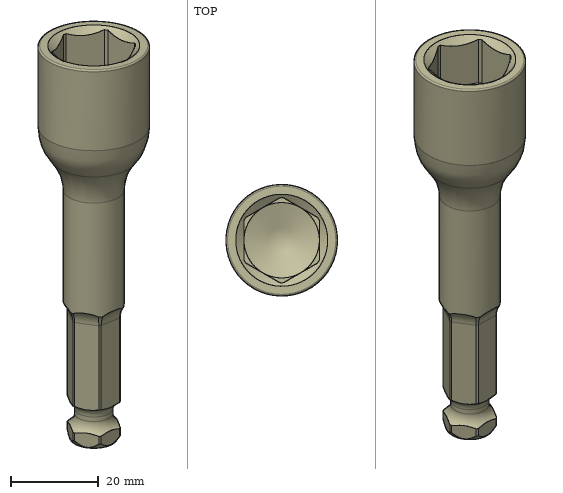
import cadquery as cq
import math

length = 100.0
socket_diameter = 25.5
socket_radius = socket_diameter / 2
barrel_radius = 7.0
rim_fillet = 0.4

shoulder_bottom = 63.3
shoulder_top = 79.5
shoulder_middle = (shoulder_bottom + shoulder_top) / 2
shoulder_mid_radius = (barrel_radius + socket_radius) / 2

shank_across_flats = 11.1
shank_flat = shank_across_flats / 2
shank_across_corners = 12.5
shank_corner_radius = shank_across_corners / 2
flare_start = 31.6
flare_radius = 4.8
tip_radius = 5.4
tip_chamfer_height = 1.4

groove_radius = 4.4
groove_bottom = 3.4
groove_floor_bottom = 6.3
groove_floor_top = 7.5
groove_top = 10.1

socket_across_flats = 17.2
socket_corner_radius = 9.7
socket_depth = 12.5
mouth_radius = 10.5
mouth_angle = 50.0
drill_point_angle = 140.0


def tangent_radius(rise, offset):
    """Radius of an arc that starts along the axis and ends at the given rise and offset."""
    return (rise**2 + offset**2) / (2 * offset)


def hexagon(across_flats, start_z, height):
    """Hexagonal prism with two corners on the X axis."""
    across_corners = across_flats / math.cos(math.pi / 6)
    return cq.Workplane("XY").workplane(offset=start_z).polygon(6, across_corners).extrude(height)


def turned_body():
    """Round body, including the shank corners, groove and shoulder."""
    flare_offset = barrel_radius - shank_corner_radius
    flare_height = math.sqrt(flare_radius**2 - (flare_radius - flare_offset) ** 2)
    groove_depth = shank_corner_radius - groove_radius
    lower_arc = tangent_radius(groove_floor_bottom - groove_bottom, groove_depth)
    upper_arc = tangent_radius(groove_top - groove_floor_top, groove_depth)
    shoulder_arc = tangent_radius(shoulder_middle - shoulder_bottom, shoulder_mid_radius - barrel_radius)
    profile = (
        cq.Workplane("XZ")
        .lineTo(tip_radius, 0)
        .lineTo(shank_corner_radius, tip_chamfer_height)
        .lineTo(shank_corner_radius, groove_bottom)
        .radiusArc((groove_radius, groove_floor_bottom), lower_arc)
        .lineTo(groove_radius, groove_floor_top)
        .radiusArc((shank_corner_radius, groove_top), upper_arc)
        .lineTo(shank_corner_radius, flare_start)
        .radiusArc((barrel_radius, flare_start + flare_height), flare_radius)
        .lineTo(barrel_radius, shoulder_bottom)
        .radiusArc((shoulder_mid_radius, shoulder_middle), shoulder_arc)
        .radiusArc((socket_radius, shoulder_top), -shoulder_arc)
        .lineTo(socket_radius, length)
        .lineTo(0, length)
        .close()
    )
    body = profile.revolve(360, (0, 0, 0), (0, 1, 0))
    return body.faces(">Z").edges().fillet(rim_fillet)


def flat_cutter():
    """Material beyond the -Y shank flat, ending in a concave flare at the top."""
    outside = shank_flat + flare_radius
    return (
        cq.Workplane("YZ")
        .moveTo(-shank_flat, 0)
        .lineTo(-shank_flat, flare_start)
        .radiusArc((-outside, flare_start + flare_radius), -flare_radius)
        .lineTo(-outside, 0)
        .close()
        .extrude(barrel_radius, both=True)
    )


def socket_cavity():
    """Hexagonal recess with rounded corners, a conical mouth and a drilled point."""
    floor = length - socket_depth
    round_limit = cq.Workplane("XY").workplane(offset=floor).circle(socket_corner_radius).extrude(socket_depth)
    recess = hexagon(socket_across_flats, floor, socket_depth)
    recess = recess.rotate((0, 0, 0), (0, 0, 1), 30).intersect(round_limit)
    mouth_depth = mouth_radius / math.tan(math.radians(mouth_angle))
    mouth = cq.Workplane(cq.Solid.makeCone(0, mouth_radius, mouth_depth, pnt=(0, 0, length - mouth_depth)))
    drill_radius = socket_across_flats / 2
    point_depth = drill_radius / math.tan(math.radians(drill_point_angle / 2))
    point = cq.Workplane(cq.Solid.makeCone(0, drill_radius, point_depth, pnt=(0, 0, floor - point_depth)))
    return recess.union(mouth).union(point)


result = turned_body()
for side in range(6):
    result = result.cut(flat_cutter().rotate((0, 0, 0), (0, 0, 1), 60 * side))
result = result.cut(socket_cavity())